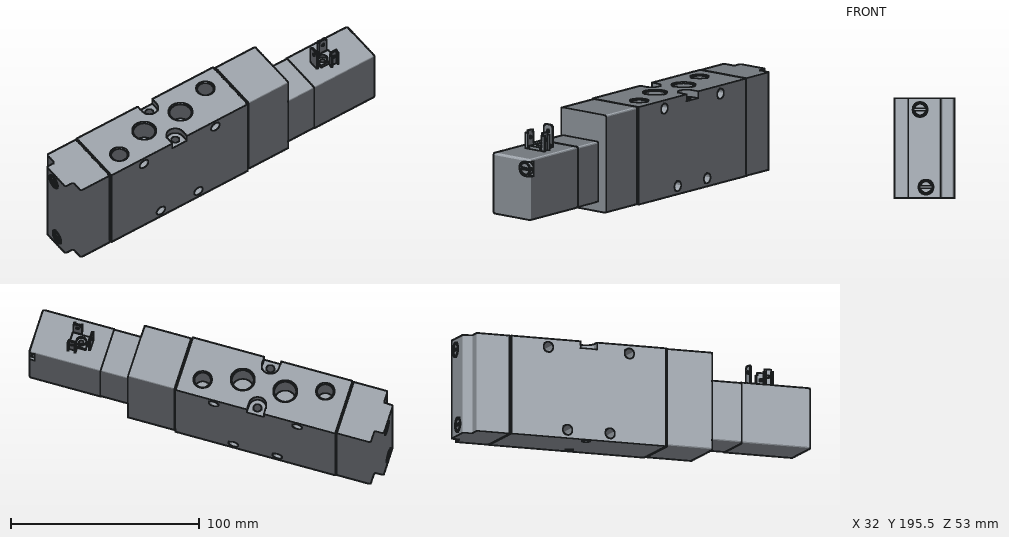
import cadquery as cq

TOTAL_LENGTH = 195.5
BLOCK_WIDTH = 32.0
BLOCK_LENGTH = 88.2
HEIGHT = 53.0
CAP_LENGTH = 23.9
GASKET_THICKNESS = 0.8
GASKET_INSET = 1.0
END_WIDTH = 31.3
ADAPTER_LENGTH = 25.6

BLOCK_FRONT = -BLOCK_LENGTH / 2
BLOCK_REAR = BLOCK_LENGTH / 2
CAP_REAR = BLOCK_FRONT - GASKET_THICKNESS
FRONT_END = CAP_REAR - CAP_LENGTH
REAR_END = FRONT_END + TOTAL_LENGTH
ADAPTER_FRONT = BLOCK_REAR + GASKET_THICKNESS
ADAPTER_REAR = ADAPTER_FRONT + ADAPTER_LENGTH
ADAPTER_ROUNDING = 1.2

NOSE_WIDTH = 17.2
NOSE_LENGTH = 5.0
CAP_ROUNDING = 1.0

PORT_DEPTH = 11.7
MAIN_PORT_DIAMETER = 11.5
MAIN_PORT_OFFSET = 11.7
PILOT_PORT_DIAMETER = 8.6
PILOT_PORT_X = 6.0
PILOT_PORT_Y = 32.0
PORT_CHAMFER = 0.68

MOUNT_HOLE_DIAMETER = 4.3
MOUNT_HOLE_X = 12.0
MOUNT_SEAT_DIAMETER = 9.4
MOUNT_SEAT_DEPTH = 3.7

CROSS_HOLE_DIAMETER = 5.5
UPPER_CROSS_Y = 23.0
UPPER_CROSS_Z = 48.5
LOWER_CROSS_Y = 12.1
LOWER_CROSS_Z = 4.5

SCREW_RECESS_DIAMETER = 8.0
SCREW_HEAD_DIAMETER = 6.6
SCREW_HEAD_CHAMFER = 0.3
SCREW_RECESS_DEPTH = 3.1
SCREW_SLOT_WIDTH = 1.2
SCREW_SLOT_DEPTH = 1.8
CAP_SCREWS = [(-2.3, 47.0), (0.8, 5.9)]

COIL_WIDTH = 26.0
COIL_HEIGHT = 33.2
COIL_BOTTOM = 4.9
COIL_LENGTH = 39.5
COIL_ROUNDING = 1.2
NECK_INSET = 0.2
COIL_X = (END_WIDTH - COIL_WIDTH) / 2
COIL_TOP = COIL_BOTTOM + COIL_HEIGHT
COIL_FRONT = REAR_END - COIL_LENGTH
COIL_SCREW_Z = 32.6
COIL_SCREW_EDGE_DISTANCE = 3.5

SOCKET_WIDTH = 7.2
SOCKET_LENGTH = 9.4
SOCKET_HEIGHT = 1.8
SOCKET_REAR = REAR_END - 19.2
SOCKET_HOLE_Y = REAR_END - 25.0
SOCKET_BORE_DIAMETER = 5.3
SOCKET_BORE_DEPTH = 1.8
SOCKET_PILOT_DIAMETER = 2.5
SOCKET_PILOT_DEPTH = 5.9

BLADE_THICKNESS = 0.8
BLADE_HOLE_DIAMETER = 1.6
SIDE_BLADE_X = 5.0
SIDE_BLADE_Y = REAR_END - 21.5
SIDE_BLADE_WIDTH = 4.7
SIDE_BLADE_TIP_WIDTH = 4.0
SIDE_BLADE_HEIGHT = 9.8
SIDE_BLADE_HOLE_HEIGHT = 5.9
FLANGE_REACH = 1.2
FLANGE_THICKNESS = 0.8
FLANGE_HEIGHT = 8.5
GROUND_BLADE_Y = REAR_END - 30.5
GROUND_BLADE_WIDTH = 6.0
GROUND_BLADE_HEIGHT = 12.0
GROUND_BLADE_CORNER = 1.2
GROUND_BLADE_HOLE_HEIGHT = 8.5


def box(width, length, height, x, y, z):
    """Box centred on x, starting at y and z."""
    return cq.Workplane("XY").box(width, length, height, centered=(True, False, False)).translate((x, y, z))


def cylinder(diameter, length, start, direction):
    """Cylinder from a start point along a direction."""
    return cq.Workplane(cq.Solid.makeCylinder(diameter / 2, length, cq.Vector(*start), cq.Vector(*direction)))


def slotted_screw_head(x, y, z, inward):
    """Chamfered screw head with a driver slot; inward is the sign of Y into the part."""
    head = cylinder(SCREW_HEAD_DIAMETER, SCREW_RECESS_DEPTH, (x, y, z), (0, inward, 0))
    head = head.faces(">Y" if inward < 0 else "<Y").chamfer(SCREW_HEAD_CHAMFER)
    slot = cq.Workplane("XY").box(SCREW_HEAD_DIAMETER, SCREW_SLOT_DEPTH, SCREW_SLOT_WIDTH)
    return head.cut(slot.translate((x, y + inward * SCREW_SLOT_DEPTH / 2, z)))


def screw_recess(x, y, z, inward):
    """Space left around a sunk screw head."""
    recess = cylinder(SCREW_RECESS_DIAMETER, SCREW_RECESS_DEPTH, (x, y, z), (0, inward, 0))
    return recess.cut(slotted_screw_head(x, y, z, inward))


def make_front_cap():
    cap = box(END_WIDTH, CAP_LENGTH - NOSE_LENGTH, HEIGHT, 0, FRONT_END + NOSE_LENGTH, 0)
    cap = cap.union(box(NOSE_WIDTH, NOSE_LENGTH, HEIGHT, 0, FRONT_END, 0))
    front_edges = cq.selectors.BoxSelector(
        (-END_WIDTH, FRONT_END - NOSE_LENGTH, 0),
        (END_WIDTH, FRONT_END + 2 * NOSE_LENGTH, HEIGHT),
    )
    cap = cap.edges("|Z").edges(front_edges).fillet(CAP_ROUNDING)
    for x, z in CAP_SCREWS:
        cap = cap.cut(screw_recess(x, FRONT_END, z, 1))
    return cap


def make_gasket(front):
    width = BLOCK_WIDTH - 2 * GASKET_INSET
    height = HEIGHT - 2 * GASKET_INSET
    return box(width, GASKET_THICKNESS, height, 0, front, GASKET_INSET)


def port(diameter, x, y):
    """Blind hole in the top face with a chamfered mouth."""
    mouth_radius = diameter / 2 + PORT_CHAMFER
    mouth_centre = cq.Vector(x, y, HEIGHT)
    mouth = cq.Solid.makeCone(mouth_radius, diameter / 2, PORT_CHAMFER, mouth_centre, cq.Vector(0, 0, -1))
    hole = cylinder(diameter, PORT_DEPTH, (x, y, HEIGHT), (0, 0, -1))
    return hole.union(cq.Workplane(mouth))


def mount_hole(side):
    x = side * MOUNT_HOLE_X
    seat_z = HEIGHT - MOUNT_SEAT_DEPTH
    hole = cylinder(MOUNT_HOLE_DIAMETER, seat_z, (x, 0, 0), (0, 0, 1))
    seat = cylinder(MOUNT_SEAT_DIAMETER, MOUNT_SEAT_DEPTH, (x, 0, seat_z), (0, 0, 1))
    opening_width = BLOCK_WIDTH / 2 - MOUNT_HOLE_X
    opening_x = side * (MOUNT_HOLE_X + opening_width / 2)
    opening = box(
        opening_width, MOUNT_SEAT_DIAMETER, MOUNT_SEAT_DEPTH, opening_x, -MOUNT_SEAT_DIAMETER / 2, seat_z
    )
    return hole.union(seat).union(opening)


def make_block():
    block = box(BLOCK_WIDTH, BLOCK_LENGTH, HEIGHT, 0, BLOCK_FRONT, 0)
    for side in (-1, 1):
        block = block.cut(port(MAIN_PORT_DIAMETER, 0, side * MAIN_PORT_OFFSET))
        block = block.cut(port(PILOT_PORT_DIAMETER, side * PILOT_PORT_X, -side * PILOT_PORT_Y))
        block = block.cut(mount_hole(side))
        for y, z in ((UPPER_CROSS_Y, UPPER_CROSS_Z), (LOWER_CROSS_Y, LOWER_CROSS_Z)):
            start = (-BLOCK_WIDTH / 2, side * y, z)
            block = block.cut(cylinder(CROSS_HOLE_DIAMETER, BLOCK_WIDTH, start, (1, 0, 0)))
    return block


def make_adapter():
    adapter = box(END_WIDTH, ADAPTER_LENGTH, HEIGHT, 0, ADAPTER_FRONT, 0)
    return adapter.edges("|Y").fillet(ADAPTER_ROUNDING)


def make_neck():
    width = COIL_WIDTH - 2 * NECK_INSET
    height = COIL_HEIGHT - 2 * NECK_INSET
    length = COIL_FRONT - ADAPTER_REAR
    neck = box(width, length, height, COIL_X, ADAPTER_REAR, COIL_BOTTOM + NECK_INSET)
    return neck.edges("|Y").fillet(COIL_ROUNDING)


def make_valve_body():
    valve = make_block().union(make_gasket(BLOCK_REAR)).union(make_gasket(CAP_REAR))
    return valve.union(make_front_cap()).union(make_adapter())


def blade_hole(x, y, z, direction):
    """Hole through one blade at height z."""
    reach = 2 * BLADE_THICKNESS
    start = (x - direction[0] * reach / 2, y - direction[1] * reach / 2, z)
    return cylinder(BLADE_HOLE_DIAMETER, reach, start, direction)


def make_side_blade(side):
    """Blade with a flange along each edge, turned away from the socket."""
    x = COIL_X + side * SIDE_BLADE_X
    tip_front = SIDE_BLADE_Y - SIDE_BLADE_TIP_WIDTH / 2
    blade = box(BLADE_THICKNESS, SIDE_BLADE_TIP_WIDTH, SIDE_BLADE_HEIGHT, x, tip_front, COIL_TOP)
    flange_width = BLADE_THICKNESS + FLANGE_REACH
    flange_x = x + side * FLANGE_REACH / 2
    flange_front = SIDE_BLADE_Y - SIDE_BLADE_WIDTH / 2
    flange_rear = SIDE_BLADE_Y + SIDE_BLADE_WIDTH / 2 - FLANGE_THICKNESS
    for y in (flange_front, flange_rear):
        blade = blade.union(box(flange_width, FLANGE_THICKNESS, FLANGE_HEIGHT, flange_x, y, COIL_TOP))
    return blade.cut(blade_hole(x, SIDE_BLADE_Y, COIL_TOP + SIDE_BLADE_HOLE_HEIGHT, (1, 0, 0)))


def make_ground_blade():
    front = GROUND_BLADE_Y - BLADE_THICKNESS / 2
    blade = box(GROUND_BLADE_WIDTH, BLADE_THICKNESS, GROUND_BLADE_HEIGHT, COIL_X, front, COIL_TOP)
    blade = blade.edges("|Y and >Z").chamfer(GROUND_BLADE_CORNER)
    return blade.cut(blade_hole(COIL_X, GROUND_BLADE_Y, COIL_TOP + GROUND_BLADE_HOLE_HEIGHT, (0, 1, 0)))


def cut_coil_screw(coil):
    """Sink the rear screw and open its recess to the -X side."""
    side_x = COIL_X - COIL_WIDTH / 2
    screw_x = side_x + COIL_SCREW_EDGE_DISTANCE
    opening = box(
        COIL_SCREW_EDGE_DISTANCE,
        SCREW_RECESS_DEPTH,
        SCREW_RECESS_DIAMETER,
        side_x + COIL_SCREW_EDGE_DISTANCE / 2,
        REAR_END - SCREW_RECESS_DEPTH,
        COIL_SCREW_Z - SCREW_RECESS_DIAMETER / 2,
    )
    opening = opening.cut(slotted_screw_head(screw_x, REAR_END, COIL_SCREW_Z, -1))
    return coil.cut(screw_recess(screw_x, REAR_END, COIL_SCREW_Z, -1)).cut(opening)


def make_coil():
    coil = box(COIL_WIDTH, COIL_LENGTH, COIL_HEIGHT, COIL_X, COIL_FRONT, COIL_BOTTOM)
    coil = coil.edges("|Y or >Y").fillet(COIL_ROUNDING)
    coil = cut_coil_screw(coil)
    coil = coil.union(
        box(SOCKET_WIDTH, SOCKET_LENGTH, SOCKET_HEIGHT, COIL_X, SOCKET_REAR - SOCKET_LENGTH, COIL_TOP)
    )
    mouth = (COIL_X, SOCKET_HOLE_Y, COIL_TOP + SOCKET_HEIGHT)
    coil = coil.cut(cylinder(SOCKET_BORE_DIAMETER, SOCKET_BORE_DEPTH, mouth, (0, 0, -1)))
    coil = coil.cut(cylinder(SOCKET_PILOT_DIAMETER, SOCKET_PILOT_DEPTH, mouth, (0, 0, -1)))
    for side in (-1, 1):
        coil = coil.union(make_side_blade(side))
    return coil.union(make_ground_blade())


def make_pilot_solenoid():
    return make_neck().union(make_coil())


valve_body = make_valve_body()
pilot_solenoid = make_pilot_solenoid()
result = cq.Compound.makeCompound([valve_body.val(), pilot_solenoid.val()])